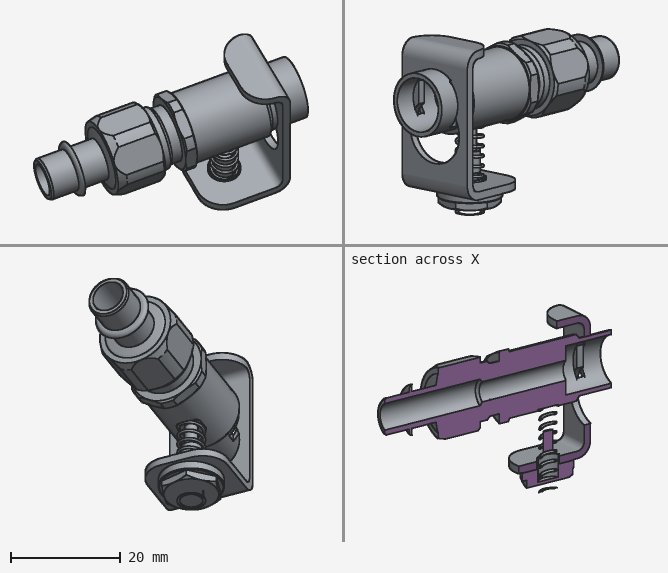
import cadquery as cq
import math


tip_chamfer_length = 0.4
tip_chamfer_depth = 0.25
barb_front_y = 5.4
barb_back_y = 6.15
collet_front_y = 11.45
collet_edge_y = 11.75
nut_front_y = 11.9
nut_front_chamfer = 1.6
nut_back_y = 21.4
shoulder_y = 22.9
neck_front_y = 23.55
collar_front_y = 25.5
collar_back_y = 27.85
barrel_back_y = 42.75
tail_front_y = 43.5
coupling_length = 50.6

tube_diameter = 8.0
barb_diameter = 10.5
barb_front_diameter = 8.8
collar_corner_diameter = 14.9
collar_flats = 13.95
collar_corner_angle = 30.0
collar_chamfer_length = 0.25
nut_corner_diameter = 15.2
nut_flats = 14.15
nut_back_chamfer = 0.5
nut_corner_angle = 9.6
neck_diameter = 10.9
collet_diameter = 11.2
shoulder_diameter = 12.0
barrel_diameter = 13.5
tail_diameter = 11.8

mouth_diameter = 6.0
bore_diameter = 5.0
mouth_depth = 21.25
socket_diameter = 10.0
socket_floor_y = 40.5

bracket_width = 16.0
sheet = 1.5
bend_outer_radius = 3.0
plate_back_y = 46.0
plate_front_y = plate_back_y - sheet
bracket_top_z = 10.1
bracket_bottom_z = -17.8
top_flange_end_y = 38.4
bottom_flange_end_y = 29.85
flange_corner_radius = 5.0
keyhole_diameter = 12.0
keyhole_z = -5.75

slot_width = 7.85
slot_back_y = 46.3

bolt_y = 36.5
seat_z = -6.3
seat_diameter = 5.5
pin_diameter = 2.5
shoulder_top_z = -10.85
pin_shoulder_diameter = 3.9
shoulder_bottom_z = -14.9
pin_foot_diameter = 3.0
lip_diameter = 6.0
lip_top_z = -15.95
flange_diameter = 12.0
flange_bottom_z = -19.55
flange_chamfer = 0.2
head_bottom_z = -21.05
head_flats = 10.0
head_corner_angle = 45.6
head_chamfer_height = 0.45
cup_floor_z = -20.35

wire_diameter = 0.5
spring_diameter = 5.2
spring_pitch = 1.85
helix_turns = 7.5
tail_wire_diameter = 0.2
end_ring_thickness = 0.05
end_ring_bottom_z = -22.45
spring_radius = (spring_diameter - wire_diameter) / 2


def corners_of(flats):
    """Diameter across the corners of a hexagon, from its size across the flats."""
    return flats / math.cos(math.pi / 6)


def turned(profile):
    """Solid of revolution about the Y axis from an outline of radius and Y."""
    return profile.close().revolve(360, (0, 0, 0), (0, 1, 0))


def disc(diameter, bottom_z, top_z):
    """Upright cylinder on the bolt axis."""
    base = cq.Workplane("XY", origin=(0, bolt_y, bottom_z))
    return base.circle(diameter / 2).extrude(top_z - bottom_z)


def make_turned_core():
    """Hose tube, barb, neck, barrel and tail."""
    tube_radius = tube_diameter / 2
    barb_radius = barb_diameter / 2
    barb_front_radius = barb_front_diameter / 2
    bulge = math.sqrt(0.5)
    barb_arc_middle = (
        barb_front_radius + (barb_radius - barb_front_radius) * bulge,
        barb_back_y - (barb_back_y - barb_front_y) * bulge,
    )
    profile = (
        cq.Workplane("XY")
        .moveTo(0, 0)
        .lineTo(tube_radius - tip_chamfer_depth, 0)
        .lineTo(tube_radius, tip_chamfer_length)
        .lineTo(tube_radius, barb_front_y)
        .lineTo(barb_front_radius, barb_front_y)
        .threePointArc(barb_arc_middle, (barb_radius, barb_back_y))
        .lineTo(tube_radius, barb_back_y)
        .lineTo(tube_radius, collet_front_y)
        .lineTo(collet_diameter / 2, collet_edge_y)
        .lineTo(shoulder_diameter / 2, nut_front_y)
        .lineTo(shoulder_diameter / 2, shoulder_y)
        .lineTo(neck_diameter / 2, neck_front_y)
        .lineTo(neck_diameter / 2, collar_back_y)
        .lineTo(barrel_diameter / 2, collar_back_y)
        .lineTo(barrel_diameter / 2, barrel_back_y)
        .lineTo(tail_diameter / 2, tail_front_y)
        .lineTo(tail_diameter / 2, coupling_length)
        .lineTo(0, coupling_length)
    )
    return turned(profile)


def make_hexagon(front_y, back_y, flats, corner_diameter, angle, front_chamfer, back_chamfer):
    """Hexagon along Y with turned corners and conical ends that run out at the flats."""
    prism = (
        cq.Workplane("XZ", origin=(0, back_y, 0))
        .transformed(rotate=(0, 0, angle))
        .polygon(6, corners_of(flats))
        .extrude(back_y - front_y)
    )
    envelope = turned(
        cq.Workplane("XY")
        .moveTo(0, front_y)
        .lineTo(flats / 2, front_y)
        .lineTo(corner_diameter / 2, front_y + front_chamfer)
        .lineTo(corner_diameter / 2, back_y - back_chamfer)
        .lineTo(flats / 2, back_y)
        .lineTo(0, back_y)
    )
    return prism.intersect(envelope)


def make_bore():
    """Stepped bore: hose mouth, conical step, narrow bore and plug socket."""
    mouth_radius = mouth_diameter / 2
    bore_radius = bore_diameter / 2
    return turned(
        cq.Workplane("XY")
        .moveTo(0, 0)
        .lineTo(mouth_radius, 0)
        .lineTo(mouth_radius, mouth_depth)
        .lineTo(bore_radius, mouth_depth + mouth_radius - bore_radius)
        .lineTo(bore_radius, socket_floor_y)
        .lineTo(socket_diameter / 2, socket_floor_y)
        .lineTo(socket_diameter / 2, coupling_length)
        .lineTo(0, coupling_length)
    )


def make_tail_slots():
    """Two slots across the sides of the tail, leaving flats one slot width apart."""
    slots = cq.Workplane("XZ", origin=(0, slot_back_y, 0)).circle(barrel_diameter / 2)
    slots = slots.extrude(slot_back_y - plate_front_y)
    return slots.cut(cq.Workplane("XY").box(slot_width, 2 * coupling_length, barrel_diameter))


def make_bolt_head():
    """Cup-shaped head: lip, round flange and chamfered hexagon, open at the top."""
    flange = disc(flange_diameter, flange_bottom_z, bracket_bottom_z)
    flange = flange.faces("<Z").chamfer(flange_chamfer)
    hexagon = (
        cq.Workplane("XY", origin=(0, bolt_y, head_bottom_z))
        .transformed(rotate=(0, 0, head_corner_angle))
        .polygon(6, corners_of(head_flats))
        .extrude(flange_bottom_z - head_bottom_z)
    )
    corner_depth = (corners_of(head_flats) - head_flats) / 2
    envelope = disc(corners_of(head_flats), head_bottom_z, flange_bottom_z)
    envelope = envelope.faces("<Z").chamfer(head_chamfer_height, corner_depth)
    lip = disc(lip_diameter, bracket_bottom_z, lip_top_z)
    head = flange.union(hexagon.intersect(envelope)).union(lip)
    return head.cut(disc(seat_diameter, cup_floor_z, lip_top_z))


def make_guide_pin():
    """Stepped pin from the head's cup up to the spring seat in the barrel."""
    foot = disc(pin_foot_diameter, cup_floor_z, shoulder_bottom_z)
    shoulder = disc(pin_shoulder_diameter, shoulder_bottom_z, shoulder_top_z)
    neck = disc(pin_diameter, shoulder_top_z, seat_z)
    return foot.union(shoulder).union(neck)


def make_spring_tail():
    """Straight thin wire from the lowest coil down to the end ring."""
    tail_top_z = cup_floor_z + wire_diameter / 2
    base = cq.Workplane("XY", origin=(spring_radius, bolt_y, end_ring_bottom_z))
    return base.circle(tail_wire_diameter / 2).extrude(tail_top_z - end_ring_bottom_z)


def make_coupling():
    """Hose coupling with its guide bolt."""
    nut = make_hexagon(
        nut_front_y, nut_back_y, nut_flats, nut_corner_diameter,
        nut_corner_angle, nut_front_chamfer, nut_back_chamfer,
    )
    collar = make_hexagon(
        collar_front_y, collar_back_y, collar_flats, collar_corner_diameter,
        collar_corner_angle, collar_chamfer_length, collar_chamfer_length,
    )
    body = make_turned_core().union(nut).union(collar)
    body = body.cut(make_bore()).cut(make_tail_slots())
    body = body.cut(disc(seat_diameter, -barrel_diameter / 2, seat_z))
    body = body.union(make_guide_pin()).union(make_bolt_head())
    return body.cut(make_spring_tail())


def make_corner_cutter(side, flange_end_y, bottom_z):
    """Material outside the rounded corner of a flange, on the side -1 or +1."""
    radius = flange_corner_radius
    centre_x = side * (bracket_width / 2 - radius)
    centre_y = flange_end_y + radius
    base = cq.Workplane("XY", origin=(centre_x, centre_y, bottom_z))
    square = base.center(side * radius / 2, -radius / 2).rect(radius, radius).extrude(sheet)
    return square.cut(base.circle(radius).extrude(sheet))


def make_keyhole():
    """Round clearance hole running up into a slot that fits the flats of the tail."""
    base = cq.Workplane("XZ", origin=(0, plate_back_y, 0))
    tail_section = base.circle(tail_diameter / 2).extrude(sheet)
    slot = base.rect(slot_width, tail_diameter).extrude(sheet)
    clearance = base.center(0, keyhole_z).circle(keyhole_diameter / 2).extrude(sheet)
    return tail_section.intersect(slot).union(clearance)


def make_bracket():
    """Bent sheet bracket with two flanges."""
    bend_inner_radius = bend_outer_radius - sheet
    bracket = (
        cq.Workplane("YZ", origin=(-bracket_width / 2, 0, 0))
        .moveTo(top_flange_end_y, bracket_top_z)
        .lineTo(plate_back_y, bracket_top_z)
        .lineTo(plate_back_y, bracket_bottom_z)
        .lineTo(bottom_flange_end_y, bracket_bottom_z)
        .lineTo(bottom_flange_end_y, bracket_bottom_z + sheet)
        .lineTo(plate_front_y, bracket_bottom_z + sheet)
        .lineTo(plate_front_y, bracket_top_z - sheet)
        .lineTo(top_flange_end_y, bracket_top_z - sheet)
        .close()
        .extrude(bracket_width)
    )
    bracket = bracket.edges("|X and >Y").fillet(bend_outer_radius)
    inner_bends = cq.selectors.BoxSelector(
        (-bracket_width, plate_front_y - sheet / 2, bracket_bottom_z),
        (bracket_width, plate_front_y + sheet / 2, bracket_top_z),
    )
    bracket = bracket.edges("|X").edges(inner_bends).fillet(bend_inner_radius)
    for side in (-1, 1):
        bracket = bracket.cut(make_corner_cutter(side, top_flange_end_y, bracket_top_z - sheet))
        bracket = bracket.cut(make_corner_cutter(side, bottom_flange_end_y, bracket_bottom_z))
    bracket = bracket.cut(make_keyhole())
    return bracket.cut(disc(lip_diameter, bracket_bottom_z, lip_top_z))


def make_spring():
    """Left-hand compression spring, ground flat at the top, with a thin ring at its lower end."""
    helix_start_z = cup_floor_z + wire_diameter / 2
    helix = cq.Wire.makeHelix(
        spring_pitch,
        spring_pitch * helix_turns,
        spring_radius,
        center=cq.Vector(0, bolt_y, helix_start_z),
        lefthand=True,
    )
    coils = (
        cq.Workplane("XZ", origin=(spring_radius, bolt_y, helix_start_z))
        .circle(wire_diameter / 2)
        .sweep(cq.Workplane(helix), isFrenet=True)
    )
    coils = coils.cut(disc(2 * spring_diameter, seat_z, seat_z + spring_pitch))
    end_ring_top_z = end_ring_bottom_z + end_ring_thickness
    end_ring = disc(spring_diameter, end_ring_bottom_z, end_ring_top_z)
    end_ring = end_ring.cut(disc(spring_diameter - 2 * wire_diameter, end_ring_bottom_z, end_ring_top_z))
    return coils.union(make_spring_tail()).union(end_ring)


coupling = make_coupling()
bracket = make_bracket()
spring = make_spring()

result = cq.Compound.makeCompound([body.solids().val() for body in (coupling, bracket, spring)])